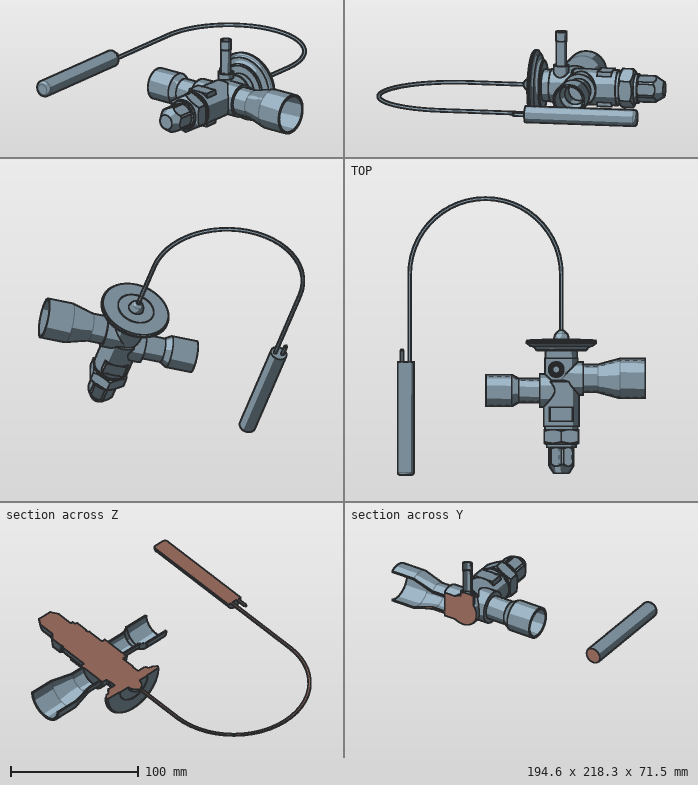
import cadquery as cq
import math


neck_dia = 25.0
upper_body_dia = 26.0
lower_body_dia = 28.0
head_bottom_y = 31.1
upper_body_top_y = 25.2
taper_top_y = 8.1
taper_bottom_y = 6.8
lower_body_bottom_y = -28.2

pad_base_width = 18.8
pad_top_width = 17.2
pad_length = 11.2
pad_top_y = -13.0
pad_height = 13.8

nut_flats = 27.0
nut_top_y = -30.7
nut_bottom_y = -42.2
nut_top_crown_dia = 27.0
nut_bottom_crown_dia = 23.8
nut_crown_angle = 30.0
collar_dia = 23.0
collar_bottom_y = -44.6
cap_flats = 19.0
cap_turned_dia = 20.9
cap_turn_angle = 5.5
cap_cone_y = -57.8
cap_crown_height = 1.0
cap_end_y = -65.0
cap_end_dia = 12.0

boss_dia = 26.0
boss_reach = 17.1
outlet_y = 9.5

inlet_pipe_dia = 19.0
inlet_pipe_bore = 16.0
inlet_socket_dia = 25.0
inlet_socket_bore = 22.2
inlet_cone_start = 33.5
inlet_cone_end = 38.8
inlet_end = 59.2

outlet_pipe_dia = 22.0
outlet_pipe_bore = 19.0
outlet_socket_dia = 31.4
outlet_socket_bore = 28.6
outlet_cone_start = 28.5
outlet_cone_end = 46.0
outlet_end = 66.0

stub_x = -4.0
stub_y = 16.5
stub_boss_dia = 12.0
stub_boss_recess_dia = 9.6
stub_boss_recess_depth = 0.6
stub_boss_top_z = 17.2
stub_tube_dia = 8.0
stub_tube_bore = 6.0
stub_socket_dia = 8.4
stub_socket_bore = 6.4
stub_socket_bottom_z = 36.6
stub_top_z = 44.0

head_face_radius = 18.8
dish_bottom_radius = 20.0
dish_bottom_y = 32.0
dish_mid_radius = 21.6
dish_mid_y = 34.0
ledge_radius = 24.4
ledge_y = 34.8
flange_radius = 26.0
flange_y = 36.2
head_rim_radius = 27.5
rim_bottom_y = 37.2
rim_top_y = 38.4
crown_radius = 26.6
crown_edge_y = 39.6
raised_disc_radius = 14.6
crown_centre_y = 39.9
head_top_y = 40.3
cone_base_radius = 5.9
cone_mid_radius = 5.6
cone_mid_y = 42.4
cone_shoulder_radius = 4.2
cone_shoulder_y = 45.0
cone_tip_radius = 1.8
cone_tip_y = 47.2

capillary_dia = 2.5
bulb_dia = 13.0
bulb_x = -122.05
bulb_top_y = 22.5
bulb_bottom_y = -66.4
bulb_end_radius = 2.3
pin_offset = 3.0
pin_length = 10.0
pin_tip_length = 1.2
pin_tip_width = 1.2
overall_length = 218.28
capillary_top_y = bulb_bottom_y + overall_length

joint_overlap = 0.5


def revolve_y(points):
    """Solid of revolution about the Y axis from (radius, y) points."""
    return cq.Workplane("XY").polyline(points).close().revolve(360, (0, 0, 0), (0, 1, 0))


def rod_y(dia, y_from, y_to):
    """Round bar on the Y axis."""
    return revolve_y([(0, y_from), (dia / 2, y_from), (dia / 2, y_to), (0, y_to)])


def hexagon_y(flats, y_top, y_bottom):
    """Hexagonal bar on the Y axis with corners pointing along +Z and -Z."""
    corner_dia = flats / math.cos(math.pi / 6)
    return (
        cq.Workplane("XZ", origin=(0, y_top, 0))
        .transformed(rotate=(0, 0, 90))
        .polygon(6, corner_dia)
        .extrude(y_top - y_bottom)
    )


def make_body():
    neck_r = neck_dia / 2
    upper_r = upper_body_dia / 2
    lower_r = lower_body_dia / 2
    body = revolve_y([
        (0, head_bottom_y + joint_overlap),
        (neck_r, head_bottom_y + joint_overlap),
        (neck_r, upper_body_top_y),
        (upper_r, upper_body_top_y),
        (upper_r, taper_top_y),
        (lower_r, taper_bottom_y),
        (lower_r, lower_body_bottom_y),
        (upper_r, lower_body_bottom_y),
        (upper_r, nut_top_y - joint_overlap),
        (0, nut_top_y - joint_overlap),
    ])
    for side in (1, -1):
        body = body.cut(pad_flat(side)).union(pad(side))
    return body


def pad_flat(side):
    """Material that is milled off the body above a pad; side is +1 for +Z and -1 for -Z."""
    return (
        cq.Workplane("XZ", origin=(0, pad_top_y, 0))
        .center(0, side * (pad_height + lower_body_dia / 2))
        .rect(pad_base_width, lower_body_dia)
        .extrude(pad_length)
    )


def pad(side):
    """Flat-topped pad with sloping ends that rises from the body; side is +1 or -1."""
    base_z = math.sqrt((lower_body_dia / 2)**2 - (pad_base_width / 2)**2)
    return (
        cq.Workplane("XZ", origin=(0, pad_top_y, 0))
        .polyline([
            (-pad_base_width / 2, 0),
            (pad_base_width / 2, 0),
            (pad_base_width / 2, side * base_z),
            (pad_top_width / 2, side * pad_height),
            (-pad_top_width / 2, side * pad_height),
            (-pad_base_width / 2, side * base_z),
        ])
        .close()
        .extrude(pad_length)
    )


def make_nut():
    nut = hexagon_y(nut_flats, nut_top_y, nut_bottom_y)
    corner_r = nut_flats / math.sqrt(3)
    top_r = nut_top_crown_dia / 2
    bottom_r = nut_bottom_crown_dia / 2
    slope = math.tan(math.radians(nut_crown_angle))
    envelope = revolve_y([
        (0, nut_top_y),
        (top_r, nut_top_y),
        (corner_r, nut_top_y - (corner_r - top_r) * slope),
        (corner_r, nut_bottom_y + (corner_r - bottom_r) * slope),
        (bottom_r, nut_bottom_y),
        (0, nut_bottom_y),
    ])
    return nut.intersect(envelope)


def make_cap():
    cap = hexagon_y(cap_flats, collar_bottom_y, cap_end_y)
    turned_r = cap_turned_dia / 2
    envelope = revolve_y([
        (0, collar_bottom_y),
        (cap_flats / 2, collar_bottom_y),
        (turned_r, collar_bottom_y - cap_crown_height),
        (turned_r, cap_cone_y),
        (cap_end_dia / 2, cap_end_y),
        (0, cap_end_y),
    ])
    return cap.intersect(envelope).rotate((0, 0, 0), (0, 1, 0), cap_turn_angle)


def pipe_profile(pipe_r, socket_r, start, cone_start, cone_end, end):
    return [
        (0, start),
        (pipe_r, start),
        (pipe_r, cone_start),
        (socket_r, cone_end),
        (socket_r, end),
        (0, end),
    ]


def make_ports():
    """Bosses with flared pipes: the inlet towards -X, the outlet towards +X."""
    inlet_outer = revolve_y(pipe_profile(
        inlet_pipe_dia / 2, inlet_socket_dia / 2, 0, inlet_cone_start, inlet_cone_end, inlet_end))
    inlet_bore = revolve_y(pipe_profile(
        inlet_pipe_bore / 2, inlet_socket_bore / 2, boss_reach, inlet_cone_start, inlet_cone_end, inlet_end))
    outlet_outer = revolve_y(pipe_profile(
        outlet_pipe_dia / 2, outlet_socket_dia / 2, 0, outlet_cone_start, outlet_cone_end, outlet_end))
    outlet_bore = revolve_y(pipe_profile(
        outlet_pipe_bore / 2, outlet_socket_bore / 2, boss_reach, outlet_cone_start, outlet_cone_end, outlet_end))
    boss = rod_y(boss_dia, 0, boss_reach)
    inlet = inlet_outer.union(boss).cut(inlet_bore).rotate((0, 0, 0), (0, 0, 1), 90)
    outlet = outlet_outer.union(boss).cut(outlet_bore).rotate((0, 0, 0), (0, 0, 1), -90)
    return inlet.union(outlet.translate((0, outlet_y, 0)))


def make_stub():
    base = cq.Workplane("XY").center(stub_x, stub_y)
    recess_z = stub_boss_top_z - stub_boss_recess_depth
    stub = base.circle(stub_boss_dia / 2).extrude(stub_boss_top_z)
    recess = base.workplane(offset=recess_z).circle(stub_boss_recess_dia / 2).extrude(stub_boss_recess_depth)
    tube = base.circle(stub_tube_dia / 2).extrude(stub_socket_bottom_z)
    socket_plane = base.workplane(offset=stub_socket_bottom_z)
    socket_height = stub_top_z - stub_socket_bottom_z
    socket = socket_plane.circle(stub_socket_dia / 2).extrude(socket_height)
    socket_bore = socket_plane.circle(stub_socket_bore / 2).extrude(socket_height)
    tube_bore = (
        base.workplane(offset=stub_boss_top_z)
        .circle(stub_tube_bore / 2)
        .extrude(stub_socket_bottom_z - stub_boss_top_z)
    )
    return stub.cut(recess).union(tube).union(socket).cut(socket_bore).cut(tube_bore)


def make_power_head():
    """Diaphragm housing with a dished underside and a cone that carries the capillary."""
    profile = (
        cq.Workplane("XY")
        .moveTo(0, head_bottom_y)
        .lineTo(head_face_radius, head_bottom_y)
        .lineTo(dish_bottom_radius, dish_bottom_y)
        .threePointArc((dish_mid_radius, dish_mid_y), (ledge_radius, ledge_y))
        .lineTo(flange_radius, flange_y)
        .lineTo(head_rim_radius, rim_bottom_y)
        .lineTo(head_rim_radius, rim_top_y)
        .lineTo(crown_radius, crown_edge_y)
        .lineTo(raised_disc_radius, crown_centre_y)
        .lineTo(raised_disc_radius, head_top_y)
        .lineTo(cone_base_radius, head_top_y)
        .threePointArc((cone_mid_radius, cone_mid_y), (cone_shoulder_radius, cone_shoulder_y))
        .lineTo(cone_tip_radius, cone_tip_y)
        .lineTo(0, cone_tip_y)
        .close()
    )
    return profile.revolve(360, (0, 0, 0), (0, 1, 0))


def make_capillary():
    capillary_x = bulb_x + pin_offset
    bend_radius = -capillary_x / 2
    bend_y = capillary_top_y - bend_radius - capillary_dia / 2
    path = (
        cq.Workplane("XY")
        .moveTo(0, head_top_y)
        .lineTo(0, bend_y)
        .threePointArc((-bend_radius, bend_y + bend_radius), (capillary_x, bend_y))
        .lineTo(capillary_x, bulb_top_y - joint_overlap)
    )
    start = cq.Workplane("XZ", origin=(0, head_top_y, 0))
    return start.circle(capillary_dia / 2).sweep(path)


def make_bulb():
    bulb = rod_y(bulb_dia, bulb_bottom_y, bulb_top_y).faces("<Y").edges().fillet(bulb_end_radius)
    pin_top_y = bulb_top_y + pin_length
    pin = rod_y(capillary_dia, bulb_top_y - joint_overlap, pin_top_y)
    pin = pin.faces(">Y").edges().chamfer(pin_tip_length, (capillary_dia - pin_tip_width) / 2)
    return bulb.union(pin.translate((-pin_offset, 0, 0))).translate((bulb_x, 0, 0))


result = make_body()
result = result.union(make_ports())
result = result.union(make_nut())
result = result.union(rod_y(collar_dia, nut_bottom_y + joint_overlap, collar_bottom_y))
result = result.union(make_cap())
result = result.union(make_stub())
result = result.union(make_power_head())
result = result.union(make_capillary())
result = result.union(make_bulb())